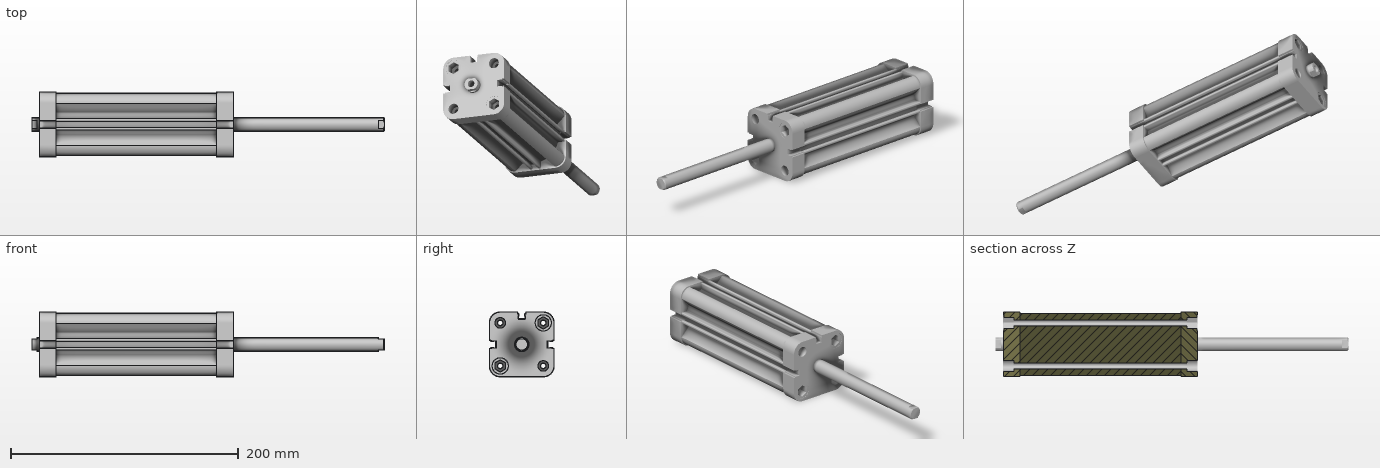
import cadquery as cq
import math

rod_length = 310.0
cap_start = 6.5
cap_length = 15.0
tube_length = 141.0
tube_start = cap_start + cap_length
tube_end = tube_start + tube_length

cap_width = 57.0
cap_corner_radius = 9.5
notch_width = 6.0
notch_depth = 6.5
notch_mouth_width = 7.0
notch_mouth_depth = 2.0

bolt_offset = cap_width / 2 - cap_corner_radius
bolt_bore_radius = 2.32
counterbore_radius = 4.5
socket_width = 9.3
recess_depth = 9.3
seat_radius = 7.0
seat_depth = 0.3

tube_width = 55.0
barrel_radius = 21.7
lobe_radius = 9.0
valley_fillet = 1.0

rail_width = 10.2
slot_mouth = 5.3
slot_width = 7.0
slot_lip = 2.5
slot_floor = 23.0
rail_rounding = 1.0

rod_radius = 6.05
rod_clearance = 0.3
flat_width = 10.0
left_flat_length = 4.5
right_flat_length = 5.5
rod_chamfer = 1.0
rod_bore_radius = 3.0
rod_bore_depth = 12.5
drill_tip_angle = 118.0


def plane_at(x):
    """Workplane across the axis at x, with +Y to the right and +Z up."""
    return cq.Workplane("YZ", origin=(x, 0, 0))


def corner_points(*signs):
    """Bolt centres at the corners given by their (Y, Z) signs."""
    return [(y * bolt_offset, z * bolt_offset) for y, z in signs]


socket_corners = [(1, 1), (-1, -1)]
counterbore_corners = [(1, -1), (-1, 1)]
all_corners = socket_corners + counterbore_corners


def drill(body, points, radius, start, depth):
    """Cut round holes running from x = start towards +X."""
    return body.cut(plane_at(start).pushPoints(points).circle(radius).extrude(depth))


def around_axis(body, angle):
    """The body turned about the X axis."""
    return body.rotate((0, 0, 0), (1, 0, 0), angle)


def side_bar(start, length, bottom, top, width):
    """Straight bar along X on the +Y side, from y = bottom to y = top."""
    return plane_at(start).center((bottom + top) / 2, 0).rect(top - bottom, width).extrude(length)


def make_cap():
    """End cap with its outer face at x = 0 and its inner face at x = cap_length."""
    cap = plane_at(0).rect(cap_width, cap_width).extrude(cap_length)
    cap = cap.edges("|X").fillet(cap_corner_radius)
    cap = drill(cap, [(0, 0)], rod_radius + rod_clearance, 0, cap_length)
    cap = drill(cap, corner_points(*all_corners), bolt_bore_radius, 0, cap_length)

    cap = drill(cap, corner_points(*counterbore_corners), counterbore_radius, 0, recess_depth)
    cap = drill(cap, corner_points(*socket_corners), seat_radius, 0, seat_depth)
    socket_diameter = socket_width / math.cos(math.pi / 6)
    socket = plane_at(0).polygon(6, socket_diameter).extrude(recess_depth)
    socket = around_axis(socket, 90)
    for y, z in corner_points(*socket_corners):
        cap = cap.cut(socket.translate((0, y, z)))

    side = cap_width / 2
    notch = side_bar(0, cap_length, side - notch_depth, side, notch_width)
    notch = notch.union(side_bar(0, cap_length, side - notch_mouth_depth, side, notch_mouth_width))
    for angle in (0, 90, 180):
        cap = cap.cut(around_axis(notch, angle))
    return cap


def make_lobe():
    """Diagonal arm carrying a corner bore, with a rounded outer end."""
    outer = tube_width / 2
    arc_start = outer - lobe_radius
    arc_middle = arc_start + lobe_radius * math.sqrt(0.5)
    half_gap = lobe_radius / 2
    return (
        plane_at(tube_start)
        .moveTo(half_gap, -half_gap)
        .lineTo(outer, arc_start)
        .threePointArc((arc_middle, arc_middle), (arc_start, outer))
        .lineTo(-half_gap, half_gap)
        .close()
        .extrude(tube_length)
    )


def make_rail():
    """Slotted rail on the +Y side, with rounded top edges and a T-slot along its middle."""
    top = tube_width / 2
    rail = side_bar(tube_start, tube_length, 0, top, rail_width)
    rail = rail.cut(side_bar(tube_start, tube_length, slot_floor, top, slot_mouth))
    rail = rail.faces(">Y").edges("|X").fillet(rail_rounding)
    return rail.cut(side_bar(tube_start, tube_length, slot_floor, top - slot_lip, slot_width))


def make_tube():
    tube = plane_at(tube_start).circle(barrel_radius).extrude(tube_length)
    lobe = make_lobe()
    rail = make_rail()
    for angle in (0, 90, 180, 270):
        tube = tube.union(around_axis(lobe, angle))
        tube = tube.union(around_axis(rail, angle))

    valley_box = cq.selectors.BoxSelector(
        (tube_start, -barrel_radius, -barrel_radius), (tube_end, barrel_radius, barrel_radius)
    )
    tube = tube.edges("|X").edges(valley_box).fillet(valley_fillet)

    tube = drill(tube, [(0, 0)], rod_radius, tube_start, tube_length)
    return drill(tube, corner_points(*all_corners), bolt_bore_radius, tube_start, tube_length)


def make_rod():
    rod = plane_at(0).circle(rod_radius).extrude(rod_length)
    rod = rod.faces(">X").chamfer(rod_chamfer)

    flat_height = rod_radius - flat_width / 2
    flat_centre = (rod_radius + flat_width / 2) / 2
    for start, length in ((0, left_flat_length), (rod_length - right_flat_length, right_flat_length)):
        flats = (
            plane_at(start)
            .pushPoints([(0, flat_centre), (0, -flat_centre)])
            .rect(2 * rod_radius, flat_height)
            .extrude(length)
        )
        rod = rod.cut(flats)

    tip = rod_bore_radius / math.tan(math.radians(drill_tip_angle / 2))
    bore = (
        cq.Workplane("XZ")
        .polyline([(0, 0), (rod_bore_depth + tip, 0), (rod_bore_depth, rod_bore_radius), (0, rod_bore_radius)])
        .close()
        .revolve(360, (0, 0, 0), (1, 0, 0))
    )
    return rod.cut(bore)


cap = make_cap()
left_cap = cap.translate((cap_start, 0, 0))
right_cap = cap.mirror("YZ").translate((tube_end + cap_length, 0, 0))
tube = make_tube()
rod = make_rod()

result = cq.Compound.makeCompound([left_cap.val(), right_cap.val(), tube.val(), rod.val()])